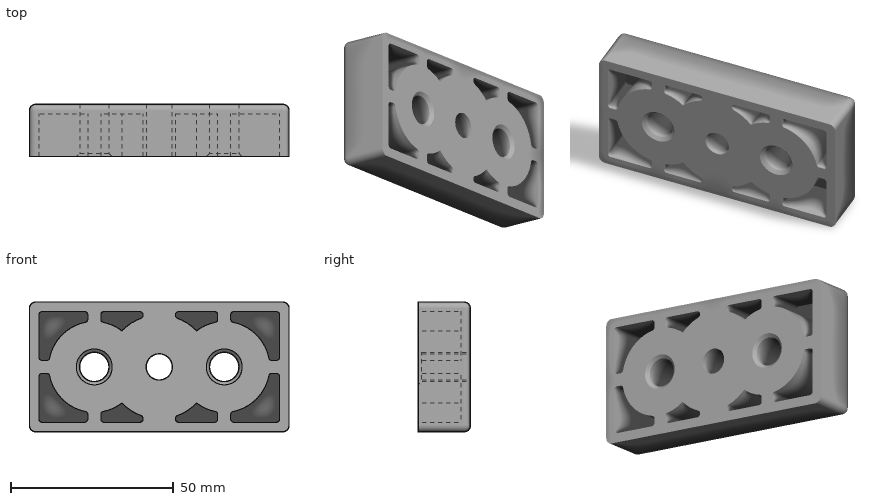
import cadquery as cq

length = 80.0
height = length / 2
thickness = 16.2
edge_radius = 2.0

bolt_spacing = length / 2
bolt_positions = (-bolt_spacing / 2, bolt_spacing / 2)
bolt_hole_diameter = 9.0
bolt_countersink_diameter = 11.0
bolt_countersink_depth = (bolt_countersink_diameter - bolt_hole_diameter) / 2
centre_hole_diameter = 8.0

wall = 3.0
rib_width = 4.0
centre_rib_width = 10.0
bolt_boss_radius = 14.0
centre_boss_radius = 16.0
back_wall = 3.0
pocket_depth = thickness - back_wall
pocket_corner_radius = 1.0

cusp_x = (bolt_spacing**2 / 4 + centre_boss_radius**2 - bolt_boss_radius**2) / bolt_spacing
cusp_tolerance = 0.1


def cylinder_along_y(diameter, depth, x):
    """Cylinder running from the front face toward the back, centred at height 0."""
    circle = cq.Workplane("XZ").center(x, 0).circle(diameter / 2)
    return circle.extrude(-depth)


def box_along_y(width, box_height, depth, x):
    """Rectangular bar running from the front face toward the back, centred at height 0."""
    return cq.Workplane("XZ").center(x, 0).rect(width, box_height).extrude(-depth)


def block():
    """Outer body with rounded upright corners and a rounded rim at the back."""
    body = box_along_y(length, height, thickness, 0)
    body = body.edges("|Y").fillet(edge_radius)
    return body.faces(">Y").edges().fillet(edge_radius)


def bolt_hole(x):
    """Through hole with a 45 degree countersink at the front face."""
    hole = cylinder_along_y(bolt_hole_diameter, thickness, x)
    countersink = (
        cq.Workplane("XZ")
        .center(x, 0)
        .circle(bolt_countersink_diameter / 2)
        .workplane(offset=-bolt_countersink_depth)
        .circle(bolt_hole_diameter / 2)
        .loft()
    )
    return hole.union(countersink)


def pockets():
    """Space inside the outer wall, less the round bosses and the ribs through the holes."""
    cavity = box_along_y(length - 2 * wall, height - 2 * wall, pocket_depth, 0)
    cavity = cavity.cut(box_along_y(length, rib_width, pocket_depth, 0))
    cavity = cavity.cut(box_along_y(centre_rib_width, height, pocket_depth, 0))
    cavity = cavity.cut(cylinder_along_y(2 * centre_boss_radius, pocket_depth, 0))
    for x in bolt_positions:
        cavity = cavity.cut(box_along_y(rib_width, height, pocket_depth, x))
        cavity = cavity.cut(cylinder_along_y(2 * bolt_boss_radius, pocket_depth, x))

    corners = cavity.edges("|Y").filter(lambda edge: abs(abs(edge.Center().x) - cusp_x) > cusp_tolerance)
    return corners.fillet(pocket_corner_radius)


result = block().cut(pockets()).cut(cylinder_along_y(centre_hole_diameter, thickness, 0))
for x in bolt_positions:
    result = result.cut(bolt_hole(x))